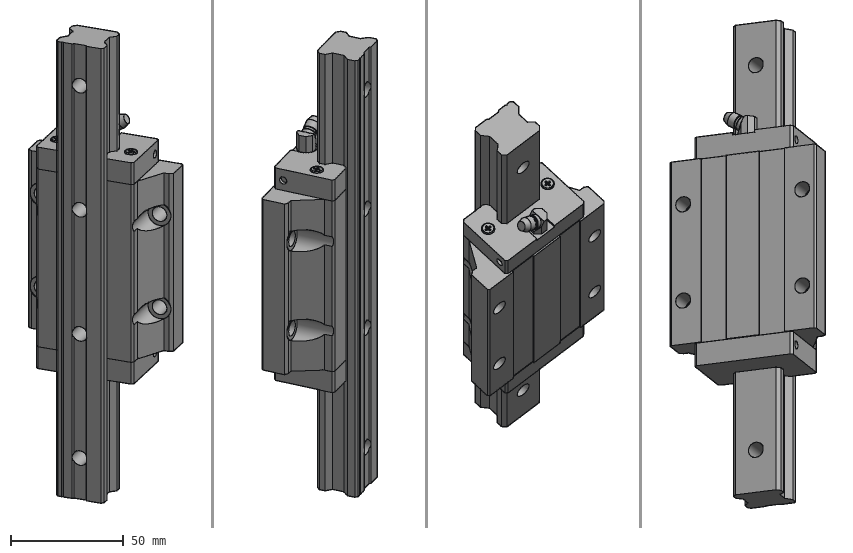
import cadquery as cq
import math

RAIL_LENGTH = 220.0
RAIL_HEIGHT = 20.2
RAIL_HALF_WIDTH = 11.5
RAIL_WAIST_HALF_WIDTH = 8.8
RAIL_TOP_HALF_WIDTH = 9.7
RAIL_FOOT_CHAMFER = 1.0
RAIL_FOOT_TOP_Y = 4.6
RAIL_WAIST_BOTTOM_Y = 7.7
RAIL_WAIST_TOP_Y = 13.2
RAIL_HEAD_BOTTOM_Y = 15.6
RAIL_HEAD_TOP_Y = 18.5

RELIEF_FLOOR_HALF_WIDTH = 2.9
RELIEF_MOUTH_HALF_WIDTH = 3.5
RELIEF_DEPTH = 0.7
MARK_X = -8.1
MARK_WIDTH = 0.9
MARK_DEPTH = 0.5

RAIL_HOLE_DIAMETER = 7.0
RAIL_HOLE_PITCH = 60.0
RAIL_HOLE_COUNT = 4

CARRIAGE_CENTRE_Z = 1.0
CARRIAGE_TOP_Y = 36.0
CARRIAGE_BOTTOM_Y = 5.7
BODY_HALF_WIDTH = 23.5
BODY_CHAMFER_X = 1.0
BODY_CHAMFER_Y = 0.9

BLOCK_LENGTH = 86.0
FLANGE_HALF_WIDTH = 35.0
FLANGE_BOTTOM_Y = 23.5
FLANGE_TOP_CHAMFER = 0.9
FLANGE_LOWER_CHAMFER_X = 1.8
FLANGE_LOWER_CHAMFER_Y = 1.0
FLANK_TOP_HALF_WIDTH = 30.8
FLANK_BOTTOM_Y = 10.3
CHANNEL_INNER_X = 8.0
CHANNEL_OUTER_X = 20.0
CHANNEL_DEPTH = 0.7

BOLT_SPACING_X = 57.0
BOLT_SPACING_Z = 45.0
BOLT_HOLE_DIAMETER = 7.0
BOLT_ACCESS_DIAMETER = 11.0
BOLT_SEAT_DEPTH = 0.5

CAP_LENGTH = 10.5
CAP_TOP_Y = 35.2
CAP_PORT_DIAMETER = 3.5
CAP_PORT_DEPTH = 1.8
CAP_PORT_Y = 30.5
CAP_PORT_INSET = 5.5

SCREW_X = 17.8
SCREW_Y = 16.7
SCREW_HEAD_DIAMETER = 6.0
SCREW_HEAD_RISE = 0.7
SCREW_SEAT_DEPTH = 1.0
SCREW_HEAD_CHAMFER = 0.5
SCREW_SLOT_LENGTH = 2.9
SCREW_SLOT_WIDTH = 0.7
SCREW_SLOT_DEPTH = 0.7

NIPPLE_Y = 30.1
NIPPLE_POCKET_RADIUS = 5.3
NIPPLE_POCKET_DEPTH = 1.0
POST_ACROSS_FLATS = 8.0
POST_SIDES = 8
POST_RISE = 7.5
NOSE_TILT = 30.0
NOSE_COLLAR_DIAMETER = 6.5
NOSE_NECK_DIAMETER = 5.5
NOSE_HEAD_DIAMETER = 6.5
NOSE_TIP_DIAMETER = 4.5
NOSE_COLLAR_END = 2.0
NOSE_NECK_END = 3.3
NOSE_HEAD_END = 6.8
NOSE_TIP_END = 9.7

BLOCK_TOP_Z = CARRIAGE_CENTRE_Z + BLOCK_LENGTH / 2
BLOCK_BOTTOM_Z = CARRIAGE_CENTRE_Z - BLOCK_LENGTH / 2
CAP_TOP_Z = BLOCK_TOP_Z + CAP_LENGTH
CAP_BOTTOM_Z = BLOCK_BOTTOM_Z - CAP_LENGTH


def mirrored_prism(right_side, bottom_z, length):
    """Extrude along Z the outline whose +X half is given from bottom to top."""
    left_side = [(-x, y) for x, y in reversed(right_side)]
    outline = cq.Workplane("XY", origin=(0, 0, bottom_z)).polyline(right_side + left_side)
    return outline.close().extrude(length)


def cylinder_along_y(diameter, x, z, bottom_y, top_y):
    """A cylinder parallel to Y between two heights."""
    base = cq.Workplane("XZ", origin=(x, bottom_y, z)).circle(diameter / 2)
    return base.extrude(bottom_y - top_y)


def rail_envelope():
    """The rail's plain section over its full length, also the opening in the carriage."""
    section = [
        (RAIL_HALF_WIDTH - RAIL_FOOT_CHAMFER, 0),
        (RAIL_HALF_WIDTH, RAIL_FOOT_CHAMFER),
        (RAIL_HALF_WIDTH, RAIL_FOOT_TOP_Y),
        (RAIL_WAIST_HALF_WIDTH, RAIL_WAIST_BOTTOM_Y),
        (RAIL_WAIST_HALF_WIDTH, RAIL_WAIST_TOP_Y),
        (RAIL_HALF_WIDTH, RAIL_HEAD_BOTTOM_Y),
        (RAIL_HALF_WIDTH, RAIL_HEAD_TOP_Y),
        (RAIL_TOP_HALF_WIDTH, RAIL_HEIGHT),
    ]
    return mirrored_prism(section, -RAIL_LENGTH / 2, RAIL_LENGTH)


def make_rail():
    relief_section = [(RELIEF_MOUTH_HALF_WIDTH, 0), (RELIEF_FLOOR_HALF_WIDTH, RELIEF_DEPTH)]
    relief = mirrored_prism(relief_section, -RAIL_LENGTH / 2, RAIL_LENGTH)

    mark_section = [(MARK_X - MARK_WIDTH / 2, 0), (MARK_X + MARK_WIDTH / 2, 0), (MARK_X, MARK_DEPTH)]
    mark = cq.Workplane("XY", origin=(0, 0, -RAIL_LENGTH / 2)).polyline(mark_section)
    mark = mark.close().extrude(RAIL_LENGTH)

    body = rail_envelope().cut(relief).cut(mark)
    for index in range(RAIL_HOLE_COUNT):
        z = (index - (RAIL_HOLE_COUNT - 1) / 2) * RAIL_HOLE_PITCH
        body = body.cut(cylinder_along_y(RAIL_HOLE_DIAMETER, 0, z, 0, RAIL_HEIGHT))
    return body


def make_block():
    section = [
        (BODY_HALF_WIDTH - BODY_CHAMFER_X, CARRIAGE_BOTTOM_Y),
        (BODY_HALF_WIDTH, CARRIAGE_BOTTOM_Y + BODY_CHAMFER_Y),
        (BODY_HALF_WIDTH, FLANK_BOTTOM_Y),
        (FLANK_TOP_HALF_WIDTH, FLANGE_BOTTOM_Y),
        (FLANGE_HALF_WIDTH - FLANGE_LOWER_CHAMFER_X, FLANGE_BOTTOM_Y),
        (FLANGE_HALF_WIDTH, FLANGE_BOTTOM_Y + FLANGE_LOWER_CHAMFER_Y),
        (FLANGE_HALF_WIDTH, CARRIAGE_TOP_Y - FLANGE_TOP_CHAMFER),
        (FLANGE_HALF_WIDTH - FLANGE_TOP_CHAMFER, CARRIAGE_TOP_Y),
        (CHANNEL_OUTER_X, CARRIAGE_TOP_Y),
        (CHANNEL_OUTER_X, CARRIAGE_TOP_Y - CHANNEL_DEPTH),
        (CHANNEL_INNER_X, CARRIAGE_TOP_Y - CHANNEL_DEPTH),
        (CHANNEL_INNER_X, CARRIAGE_TOP_Y),
    ]
    body = mirrored_prism(section, BLOCK_BOTTOM_Z, BLOCK_LENGTH).cut(rail_envelope())

    seat_y = FLANGE_BOTTOM_Y + BOLT_SEAT_DEPTH
    for x_side in (-1, 1):
        for z_side in (-1, 1):
            x = x_side * BOLT_SPACING_X / 2
            z = CARRIAGE_CENTRE_Z + z_side * BOLT_SPACING_Z / 2
            hole = cylinder_along_y(BOLT_HOLE_DIAMETER, x, z, CARRIAGE_BOTTOM_Y, CARRIAGE_TOP_Y)
            access = cylinder_along_y(BOLT_ACCESS_DIAMETER, x, z, CARRIAGE_BOTTOM_Y, seat_y)
            body = body.cut(hole).cut(access)
    return body


def make_cap(bottom_z, port_z):
    """A cap around the rail with a blind port in each side wall."""
    section = [
        (BODY_HALF_WIDTH - BODY_CHAMFER_X, CARRIAGE_BOTTOM_Y),
        (BODY_HALF_WIDTH, CARRIAGE_BOTTOM_Y + BODY_CHAMFER_Y),
        (BODY_HALF_WIDTH, CAP_TOP_Y - BODY_CHAMFER_Y),
        (BODY_HALF_WIDTH - BODY_CHAMFER_X, CAP_TOP_Y),
    ]
    body = mirrored_prism(section, bottom_z, CAP_LENGTH).cut(rail_envelope())
    for side in (-1, 1):
        mouth = cq.Workplane("YZ", origin=(side * BODY_HALF_WIDTH, CAP_PORT_Y, port_z))
        body = body.cut(mouth.circle(CAP_PORT_DIAMETER / 2).extrude(-side * CAP_PORT_DEPTH))
    return body


def nipple_pocket():
    """U-shaped pocket for the nipple, open toward the top of the upper cap."""
    floor = cq.Workplane("XY", origin=(0, NIPPLE_Y, CAP_TOP_Z - NIPPLE_POCKET_DEPTH))
    outline = (
        floor.moveTo(-NIPPLE_POCKET_RADIUS, CAP_TOP_Y - NIPPLE_Y)
        .lineTo(-NIPPLE_POCKET_RADIUS, 0)
        .threePointArc((0, -NIPPLE_POCKET_RADIUS), (NIPPLE_POCKET_RADIUS, 0))
        .lineTo(NIPPLE_POCKET_RADIUS, CAP_TOP_Y - NIPPLE_Y)
    )
    return outline.close().extrude(NIPPLE_POCKET_DEPTH)


def make_upper_cap():
    seats = (
        cq.Workplane("XY", origin=(0, SCREW_Y, CAP_TOP_Z - SCREW_SEAT_DEPTH))
        .pushPoints([(-SCREW_X, 0), (SCREW_X, 0)])
        .circle(SCREW_HEAD_DIAMETER / 2)
        .extrude(SCREW_SEAT_DEPTH)
    )
    return make_cap(BLOCK_TOP_Z, CAP_TOP_Z - CAP_PORT_INSET).cut(seats).cut(nipple_pocket())


def make_screw(x):
    """A screw head seated in the upper cap, with a cross recess."""
    head = (
        cq.Workplane("XY", origin=(x, SCREW_Y, CAP_TOP_Z - SCREW_SEAT_DEPTH))
        .circle(SCREW_HEAD_DIAMETER / 2)
        .extrude(SCREW_SEAT_DEPTH + SCREW_HEAD_RISE)
        .faces(">Z")
        .chamfer(SCREW_HEAD_CHAMFER)
    )
    recess_floor = cq.Workplane("XY", origin=(x, SCREW_Y, CAP_TOP_Z + SCREW_HEAD_RISE - SCREW_SLOT_DEPTH))
    for length, width in ((SCREW_SLOT_LENGTH, SCREW_SLOT_WIDTH), (SCREW_SLOT_WIDTH, SCREW_SLOT_LENGTH)):
        head = head.cut(recess_floor.rect(length, width).extrude(SCREW_SLOT_DEPTH))
    return head


def make_nipple():
    """An octagonal post with a sloping face that carries an angled nose."""
    tilt = math.radians(NOSE_TILT)
    post_top_z = CAP_TOP_Z + POST_RISE
    corner_diameter = POST_ACROSS_FLATS / math.cos(math.pi / POST_SIDES)
    post = (
        cq.Workplane("XY", origin=(0, NIPPLE_Y, CAP_TOP_Z - NIPPLE_POCKET_DEPTH))
        .transformed(rotate=(0, 0, 180 / POST_SIDES))
        .polygon(POST_SIDES, corner_diameter)
        .extrude(NIPPLE_POCKET_DEPTH + POST_RISE)
    )

    slope_reach = POST_ACROSS_FLATS / 2
    slope_drop = slope_reach / math.tan(tilt)
    wedge = (
        cq.Workplane("XZ", origin=(0, NIPPLE_Y, post_top_z))
        .polyline([(0, 0), (slope_reach, 0), (slope_reach, -slope_drop)])
        .close()
        .extrude(POST_ACROSS_FLATS / 2, both=True)
    )

    collar_radius = NOSE_COLLAR_DIAMETER / 2
    face_centre = (collar_radius * math.sin(tilt), NIPPLE_Y, post_top_z - collar_radius * math.cos(tilt))
    nose_plane = cq.Plane(face_centre, xDir=(0, 1, 0), normal=(math.sin(tilt), 0, -math.cos(tilt)))
    profile = [
        (0, 0),
        (collar_radius, 0),
        (collar_radius, NOSE_COLLAR_END),
        (NOSE_NECK_DIAMETER / 2, NOSE_COLLAR_END),
        (NOSE_NECK_DIAMETER / 2, NOSE_NECK_END),
        (NOSE_HEAD_DIAMETER / 2, NOSE_NECK_END),
        (NOSE_HEAD_DIAMETER / 2, NOSE_HEAD_END),
        (NOSE_TIP_DIAMETER / 2, NOSE_TIP_END),
        (0, NOSE_TIP_END),
    ]
    nose = cq.Workplane(nose_plane).polyline(profile).close().revolve(360, (0, 0), (0, 1))
    return post.cut(wedge).union(nose)


rail = make_rail()
block = make_block()
upper_cap = make_upper_cap()
lower_cap = make_cap(CAP_BOTTOM_Z, CAP_BOTTOM_Z + CAP_PORT_INSET)
screws = [make_screw(x) for x in (-SCREW_X, SCREW_X)]
nipple = make_nipple()

result = cq.Compound.makeCompound(
    [
        rail.val(),
        block.val(),
        upper_cap.val(),
        lower_cap.val(),
        *[screw.val() for screw in screws],
        nipple.val(),
    ]
)